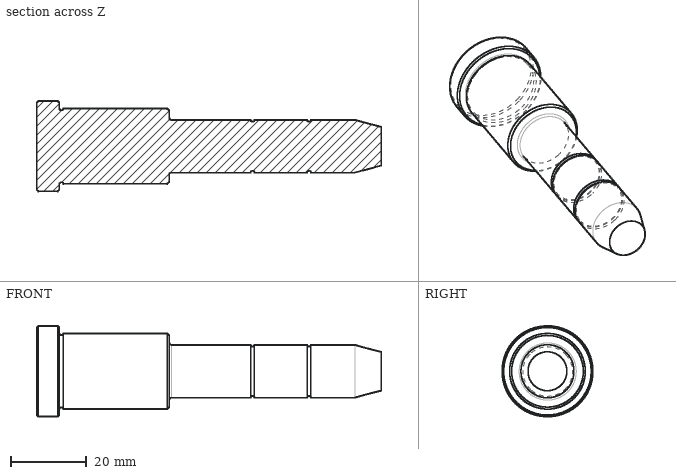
import cadquery as cq

total_length = 91.0
head_length = 6.0
relief_end = 7.0
body_end = 35.0
tip_length = 7.0

head_diameter = 24.0
body_diameter = 20.0
shank_diameter = 14.0
tip_diameter = 10.3

head_chamfer = 0.5
body_chamfer = 0.55
shank_fillet = 0.55
relief_depth = 0.5

shank_grooves = [(56.5, 57.5), (71.4, 72.4)]
groove_depth = 0.5


def cylinder(start, end, diameter):
    """Solid cylinder about the X axis between two axial positions."""
    return cq.Workplane("YZ").workplane(offset=start).circle(diameter / 2).extrude(end - start)


def ring_groove(start, end, diameter, depth):
    """Cutter for an arc-section groove around a cylinder about the X axis."""
    radius = diameter / 2
    clear_radius = radius + depth
    return (
        cq.Workplane("XY")
        .moveTo(start, clear_radius)
        .lineTo(start, radius)
        .threePointArc(((start + end) / 2, radius - depth), (end, radius))
        .lineTo(end, clear_radius)
        .close()
        .revolve(360, (0, 0, 0), (1, 0, 0))
    )


head = cylinder(0, head_length, head_diameter).edges().chamfer(head_chamfer)

body = cylinder(head_length, body_end, body_diameter).edges(">X").chamfer(body_chamfer)

shank_radius = shank_diameter / 2
fillet_middle = shank_fillet * (1 - 0.5**0.5)
shank = (
    cq.Workplane("XY")
    .moveTo(body_end, 0)
    .lineTo(body_end, shank_radius + shank_fillet)
    .threePointArc(
        (body_end + fillet_middle, shank_radius + fillet_middle),
        (body_end + shank_fillet, shank_radius),
    )
    .lineTo(total_length - tip_length, shank_radius)
    .lineTo(total_length, tip_diameter / 2)
    .lineTo(total_length, 0)
    .close()
    .revolve(360, (0, 0, 0), (1, 0, 0))
)

result = head.union(body).union(shank)

result = result.cut(ring_groove(head_length, relief_end, body_diameter, relief_depth))

for groove_start, groove_end in shank_grooves:
    result = result.cut(ring_groove(groove_start, groove_end, shank_diameter, groove_depth))